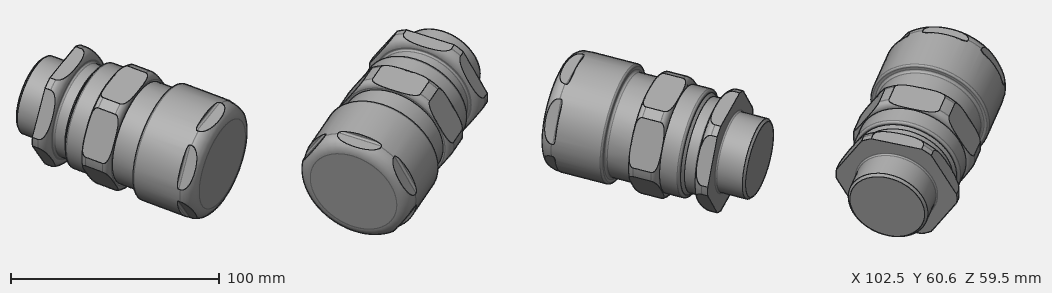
import cadquery as cq
import math


hexagon_sides = 6
across_flats = 55.0
corner_diameter = 60.6

spigot_diameter = 40.0
spigot_chamfer = 1.2
spigot_root_radius = 0.7
entry_hex_start = 15.1
entry_hex_end = 23.1
entry_hex_rounding = 4.9
neck_diameter = 47.8
neck_root_radius = 0.9
seat_start = 29.4
seat_flare = 1.4
seat_end = seat_start + seat_flare

barrel_diameter = 54.0
barrel_rounding = 1.2
middle_hex_start = 41.0
middle_hex_end = 56.7
middle_hex_rounding = 3.2

sleeve_diameter = 52.2
sleeve_root_radius = 1.2
cap_diameter = 59.5
cap_start = 69.5
cap_front_rounding = 1.0
cap_end = 102.5
cap_end_rounding = 6.9
flats_start = 93.9
flats_root_radius = 1.0

ARC_MIDDLE = 1 - math.sqrt(0.5)


def turned(profile):
    """Closes a profile that starts and ends on the X axis and revolves it."""
    return profile.close().revolve(360, (0, 0, 0), (1, 0, 0))


def outward_rounding(profile, corner_x, corner_r, radius):
    """Rounds the leading outer corner: from a face normal to X onto a cylinder."""
    return (
        profile.lineTo(corner_x, corner_r - radius)
        .threePointArc(
            (corner_x + radius * ARC_MIDDLE, corner_r - radius * ARC_MIDDLE),
            (corner_x + radius, corner_r),
        )
    )


def inward_rounding(profile, corner_x, corner_r, radius):
    """Rounds the trailing outer corner: from a cylinder onto a face normal to X."""
    return (
        profile.lineTo(corner_x - radius, corner_r)
        .threePointArc(
            (corner_x - radius * ARC_MIDDLE, corner_r - radius * ARC_MIDDLE),
            (corner_x, corner_r - radius),
        )
    )


def rising_root(profile, corner_x, corner_r, radius):
    """Fillets an inner corner: from a cylinder up a face normal to X."""
    return (
        profile.lineTo(corner_x - radius, corner_r)
        .threePointArc(
            (corner_x - radius * ARC_MIDDLE, corner_r + radius * ARC_MIDDLE),
            (corner_x, corner_r + radius),
        )
    )


def falling_root(profile, corner_x, corner_r, radius):
    """Fillets an inner corner: from a face normal to X down onto a cylinder."""
    return (
        profile.lineTo(corner_x, corner_r + radius)
        .threePointArc(
            (corner_x + radius * ARC_MIDDLE, corner_r + radius * ARC_MIDDLE),
            (corner_x + radius, corner_r),
        )
    )


def cut_hexagon(body, start, end):
    """Cuts six flats between two X positions, with hexagon corners on the Y axis."""
    blank = cq.Workplane("YZ", origin=(start, 0, 0)).circle(corner_diameter).extrude(end - start)
    hexagon = (
        cq.Workplane("YZ", origin=(start, 0, 0))
        .polygon(hexagon_sides, across_flats / math.cos(math.pi / hexagon_sides))
        .extrude(end - start)
    )
    return body.cut(blank.cut(hexagon))


def make_entry_body():
    spigot_r = spigot_diameter / 2
    corner_r = corner_diameter / 2
    neck_r = neck_diameter / 2
    profile = (
        cq.Workplane("XY")
        .lineTo(0, spigot_r - spigot_chamfer)
        .lineTo(spigot_chamfer, spigot_r)
    )
    profile = rising_root(profile, entry_hex_start, spigot_r, spigot_root_radius)
    profile = profile.lineTo(entry_hex_start, corner_r)
    profile = inward_rounding(profile, entry_hex_end, corner_r, entry_hex_rounding)
    profile = falling_root(profile, entry_hex_end, neck_r, neck_root_radius)
    profile = (
        profile.lineTo(seat_start, neck_r)
        .lineTo(seat_end, neck_r + seat_flare)
        .lineTo(seat_end, 0)
    )
    return cut_hexagon(turned(profile), entry_hex_start, entry_hex_end)


def make_middle_body():
    barrel_r = barrel_diameter / 2
    corner_r = corner_diameter / 2
    profile = cq.Workplane("XY").moveTo(seat_end, 0)
    profile = outward_rounding(profile, seat_end, barrel_r, barrel_rounding)
    profile = profile.lineTo(middle_hex_start, barrel_r)
    profile = outward_rounding(profile, middle_hex_start, corner_r, middle_hex_rounding)
    profile = inward_rounding(profile, middle_hex_end, corner_r, middle_hex_rounding)
    profile = profile.lineTo(middle_hex_end, 0)
    return cut_hexagon(turned(profile), middle_hex_start, middle_hex_end)


def make_flat_cutter():
    """Makes the block above one spanner flat, rounded where the flat runs into the cap."""
    length = cap_end - flats_start
    return (
        cq.Workplane("XY", origin=(flats_start, 0, across_flats / 2))
        .box(length, cap_diameter, cap_diameter, centered=(False, True, False))
        .edges("<X and <Z")
        .fillet(flats_root_radius)
    )


def make_cap():
    sleeve_r = sleeve_diameter / 2
    cap_r = cap_diameter / 2
    profile = cq.Workplane("XY").moveTo(middle_hex_end, 0).lineTo(middle_hex_end, sleeve_r)
    profile = rising_root(profile, cap_start, sleeve_r, sleeve_root_radius)
    profile = outward_rounding(profile, cap_start, cap_r, cap_front_rounding)
    profile = inward_rounding(profile, cap_end, cap_r, cap_end_rounding)
    cap = turned(profile.lineTo(cap_end, 0))
    cutter = make_flat_cutter()
    for side in range(hexagon_sides):
        cap = cap.cut(cutter.rotate((0, 0, 0), (1, 0, 0), 360 / hexagon_sides * side))
    return cap


entry_body = make_entry_body()
middle_body = make_middle_body()
cap = make_cap()

result = cq.Compound.makeCompound([entry_body.val(), middle_body.val(), cap.val()])